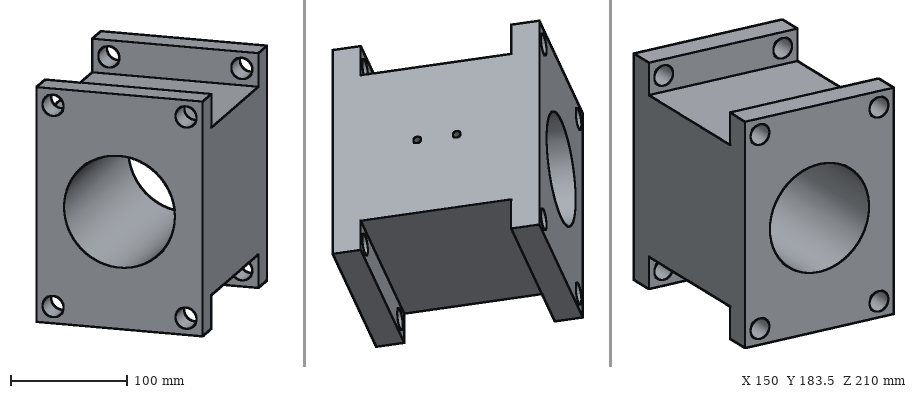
import cadquery as cq
import math

width = 150.0
length = 183.5
flange_height = 210.0
flange_thickness = 25.0
body_height = width

bore_diameter = 100.0

bolt_diameter = 19.0
bolt_spacing_x = 120.0
bolt_spacing_z = 180.0

drill_diameter = 6.7
drill_depth = 16.8
drill_tip_angle = 118.0
drill_spacing = 35.0
drill_center_y = -0.8


def make_body():
    """Body with a flange at each end of the Y axis."""
    body = cq.Workplane("XY").box(width, length, body_height)
    flange_offset = (length - flange_thickness) / 2
    for side in (-1, 1):
        flange = cq.Workplane("XY").box(width, flange_thickness, flange_height)
        body = body.union(flange.translate((0, side * flange_offset, 0)))
    return body


def make_bore_and_bolt_holes():
    """Cutters running the full length along Y."""
    end_plane = cq.Workplane("XZ", origin=(0, length / 2, 0))
    bore = end_plane.circle(bore_diameter / 2).extrude(length)
    bolts = (
        end_plane.rect(bolt_spacing_x, bolt_spacing_z, forConstruction=True)
        .vertices()
        .circle(bolt_diameter / 2)
        .extrude(length)
    )
    return bore, bolts


def make_drill_cutter():
    """Pointed drill along +X, its straight part starting at the -X face."""
    radius = drill_diameter / 2
    tip_length = radius / math.tan(math.radians(drill_tip_angle / 2))
    return (
        cq.Workplane("XY", origin=(-width / 2, 0, 0))
        .lineTo(0, radius)
        .lineTo(drill_depth, radius)
        .lineTo(drill_depth + tip_length, 0)
        .close()
        .revolve(360, (0, 0, 0), (1, 0, 0))
    )


bore_cutter, bolt_cutters = make_bore_and_bolt_holes()
result = make_body().cut(bore_cutter).cut(bolt_cutters)
for side in (-1, 1):
    drill_y = drill_center_y + side * drill_spacing / 2
    result = result.cut(make_drill_cutter().translate((0, drill_y, 0)))